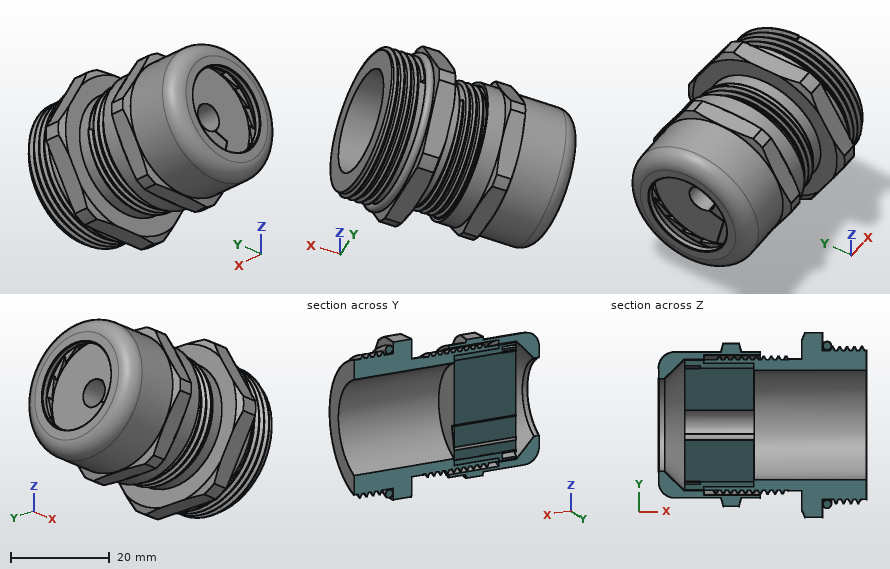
import cadquery as cq
import math

OVERALL_LENGTH = 42.3

CAP_END_X = 20.75
CAP_DIAMETER = 29.75
CAP_ROUNDING = 3.4
CAP_MOUTH_DIAMETER = 18.75
CAP_MOUTH_LENGTH = 1.25
CAP_MOUTH_CHAMFER = 0.15
CAP_THROAT_DIAMETER = 26.7
CAP_BORE_DIAMETER = 28.4
CAP_HEX_START_X = 12.7
CAP_HEX_LENGTH = 4.2
CAP_HEX_FLATS = 29.9
CAP_HEX_CORNERS = 33.13
CAP_HEX_CHAMFER = 0.45
CAP_HEX_TURN = 0.9

INSERT_START_X = 5.35
INSERT_END_X = 19.45
SEAL_DIAMETER = 22.97
SEAL_HOLE_DIAMETER = 6.0
SLIT_WIDTH = 0.13
SLIT_POINTS = [(-1.78, -2.35), (-5.3, -3.65), (-3.4, -11.85)]

CAGE_DIAMETER = 26.5
FINGER_COUNT = 18
FINGER_LENGTH = 3.15
FINGER_TIP_RADIUS = 11.7
FINGER_ROOT_RADIUS = 12.8
FINGER_START_ANGLE = -8.5
FINGER_SPAN_ANGLE = 22.8

BODY_START_X = 9.3
BODY_SOCKET_DIAMETER = 25.2
BODY_BORE_DIAMETER = 22.2
NECK_START_X = 26.4
NECK_DIAMETER = 26.85
BODY_HEX_START_X = 29.1
BODY_HEX_LENGTH = 4.27
BODY_HEX_FLATS = 34.0
BODY_HEX_CORNERS = 37.57
BODY_HEX_CHAMFER = 0.65
BODY_HEX_FACE_DIAMETER = 34.7
BODY_HEX_END_X = BODY_HEX_START_X + BODY_HEX_LENGTH

THREAD_PITCH = 1.5
THREAD_CREST_WIDTH = 0.15
THREAD_BASE_WIDTH = 1.0
THREAD_EMBED = 0.13
CAP_THREAD_CORE = 26.55
CAP_THREAD_CREST = 28.0
CAP_THREAD_END_X = 25.95
CAP_THREAD_TURNS = 9.5
CAP_THREAD_ANGLE = 180
END_THREAD_CORE = 30.3
END_THREAD_CREST = 31.9
END_THREAD_END_X = 41.7
END_THREAD_TURNS = 4.25
END_THREAD_ANGLE = 0

RING_DIAMETER = 33.95
RING_THICKNESS = 1.78


def turned(points):
    """Solid of revolution about X from (X, radius) points."""
    return cq.Workplane("XY").polyline(points).close().revolve(360, (0, 0, 0), (1, 0, 0))


def cylinder(start_x, end_x, diameter):
    return cq.Workplane("YZ").workplane(offset=start_x).circle(diameter / 2).extrude(end_x - start_x)


def hexagon(start_x, length, flats):
    """Hexagonal prism along X with two flats facing +Z and -Z."""
    corner_diameter = flats / math.cos(math.radians(30))
    return cq.Workplane("YZ").workplane(offset=start_x).polygon(6, corner_diameter).extrude(length)


def thread(core, crest, start_x, turns, start_angle):
    """Helical ridge that stands on a core cylinder."""
    path_radius = core / 2 - THREAD_EMBED
    flank = (THREAD_BASE_WIDTH - THREAD_CREST_WIDTH) / (crest - core)
    sunk_half_width = THREAD_BASE_WIDTH / 2 + flank * THREAD_EMBED
    path = cq.Wire.makeHelix(THREAD_PITCH, turns * THREAD_PITCH, path_radius)
    ridge = (
        cq.Workplane("XZ")
        .polyline([
            (path_radius, -sunk_half_width),
            (crest / 2, -THREAD_CREST_WIDTH / 2),
            (crest / 2, THREAD_CREST_WIDTH / 2),
            (path_radius, sunk_half_width),
        ])
        .close()
        .sweep(cq.Workplane(obj=path), isFrenet=True)
    )
    ridge = ridge.rotate((0, 0, 0), (1, 1, 1), 120)
    return ridge.rotate((0, 0, 0), (1, 0, 0), start_angle).translate((start_x, 0, 0))


def make_cap():
    radius = CAP_DIAMETER / 2
    shell = cylinder(0, CAP_END_X, CAP_DIAMETER).faces("<X").edges().fillet(CAP_ROUNDING)

    hex_end_x = CAP_HEX_START_X + CAP_HEX_LENGTH
    corner_limit = turned([
        (CAP_HEX_START_X, 0),
        (CAP_HEX_START_X, radius),
        (CAP_HEX_START_X + CAP_HEX_CHAMFER, CAP_HEX_CORNERS / 2),
        (hex_end_x - CAP_HEX_CHAMFER, CAP_HEX_CORNERS / 2),
        (hex_end_x, radius),
        (hex_end_x, 0),
    ])
    collar = hexagon(CAP_HEX_START_X, CAP_HEX_LENGTH, CAP_HEX_FLATS)
    collar = collar.rotate((0, 0, 0), (1, 0, 0), CAP_HEX_TURN).intersect(corner_limit)

    mouth_radius = CAP_MOUTH_DIAMETER / 2
    inside = turned([
        (0, 0),
        (0, mouth_radius + CAP_MOUTH_CHAMFER),
        (CAP_MOUTH_CHAMFER, mouth_radius),
        (CAP_MOUTH_LENGTH, mouth_radius),
        (INSERT_START_X, CAP_THROAT_DIAMETER / 2),
        (BODY_START_X, CAP_THROAT_DIAMETER / 2),
        (BODY_START_X, CAP_BORE_DIAMETER / 2),
        (CAP_END_X, CAP_BORE_DIAMETER / 2),
        (CAP_END_X, 0),
    ])
    return shell.union(collar).cut(inside)


def make_seal():
    seal = cylinder(INSERT_START_X, INSERT_END_X, SEAL_DIAMETER)
    hole = cylinder(INSERT_START_X, INSERT_END_X, SEAL_HOLE_DIAMETER)
    slit_y, slit_z = SLIT_POINTS[0]
    hole = hole.rotate((0, 0, 0), (1, 0, 0), math.degrees(math.atan2(slit_z, slit_y)))
    slit = (
        cq.Workplane("YZ")
        .workplane(offset=INSERT_START_X)
        .polyline(SLIT_POINTS)
        .offset2D(SLIT_WIDTH / 2)
        .extrude(INSERT_END_X - INSERT_START_X)
    )
    return seal.cut(hole).cut(slit)


def make_cage():
    outside = cylinder(INSERT_START_X, BODY_START_X, CAGE_DIAMETER)
    outside = outside.union(cylinder(BODY_START_X, INSERT_END_X, BODY_SOCKET_DIAMETER))

    outline = []
    for finger in range(FINGER_COUNT):
        root_angle = FINGER_START_ANGLE - finger * 360 / FINGER_COUNT
        tip_angle = root_angle - FINGER_SPAN_ANGLE
        for radius, angle in ((FINGER_ROOT_RADIUS, root_angle), (FINGER_TIP_RADIUS, tip_angle)):
            angle = math.radians(angle)
            outline.append((radius * math.cos(angle), radius * math.sin(angle)))
    tip_plane = cq.Workplane("YZ").workplane(offset=INSERT_START_X)
    opening = tip_plane.polyline(outline).close().extrude(FINGER_LENGTH)
    seat = cylinder(INSERT_START_X, INSERT_END_X, SEAL_DIAMETER)
    return outside.cut(opening).cut(seat)


def threaded_core(start_x, end_x, core, crest, ridge_end_x, turns, start_angle):
    """Cylinder with a helical ridge that ends at ridge_end_x."""
    ridge_start_x = ridge_end_x - turns * THREAD_PITCH
    ridge = thread(core, crest, ridge_start_x, turns, start_angle)
    return cylinder(start_x, end_x, core).union(ridge)


def make_body():
    body = threaded_core(
        BODY_START_X, NECK_START_X, CAP_THREAD_CORE, CAP_THREAD_CREST,
        CAP_THREAD_END_X, CAP_THREAD_TURNS, CAP_THREAD_ANGLE,
    )
    body = body.union(cylinder(NECK_START_X, BODY_HEX_START_X, NECK_DIAMETER))
    body = body.union(threaded_core(
        BODY_HEX_START_X, OVERALL_LENGTH, END_THREAD_CORE, END_THREAD_CREST,
        END_THREAD_END_X, END_THREAD_TURNS, END_THREAD_ANGLE,
    ))

    corner_limit = turned([
        (BODY_HEX_START_X, 0),
        (BODY_HEX_START_X, BODY_HEX_FACE_DIAMETER / 2),
        (BODY_HEX_START_X + BODY_HEX_CHAMFER, BODY_HEX_CORNERS / 2),
        (BODY_HEX_END_X, BODY_HEX_CORNERS / 2),
        (BODY_HEX_END_X, 0),
    ])
    body = body.union(hexagon(BODY_HEX_START_X, BODY_HEX_LENGTH, BODY_HEX_FLATS).intersect(corner_limit))
    body = body.cut(cylinder(BODY_START_X, INSERT_END_X, BODY_SOCKET_DIAMETER))
    return body.cut(cylinder(INSERT_END_X, OVERALL_LENGTH, BODY_BORE_DIAMETER))


def make_sealing_ring():
    tube_radius = RING_THICKNESS / 2
    centre = (BODY_HEX_END_X + tube_radius, RING_DIAMETER / 2 - tube_radius)
    tube = cq.Workplane("XY").moveTo(*centre).circle(tube_radius)
    return tube.revolve(360, (0, 0, 0), (1, 0, 0))


cap = make_cap()
cage = make_cage()
seal = make_seal()
body = make_body()
sealing_ring = make_sealing_ring()

result = cq.Compound.makeCompound([cap.val(), cage.val(), seal.val(), body.val(), sealing_ring.val()])